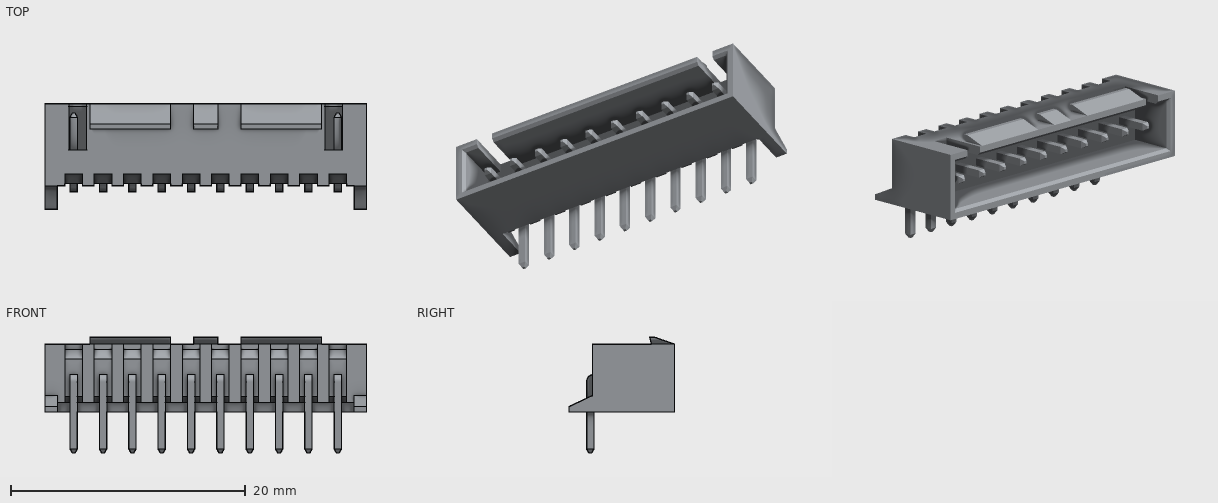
import cadquery as cq


pin_count = 10
pitch = 2.5
pin_size = 0.64
pin_end_gap = 0.8
pin_overhang = 0.5
pin_drop = 3.49
tip_length = 0.36
tip_inset = 0.2
bend_radius = pin_size

length = 27.4
depth = 7.0
height = 5.8
wall = 0.8
cavity_depth = 3.95
lead_in = 0.25

slot_width = 1.5
slot_outer_x = 11.65

pocket_width = 1.5
pocket_depth = 1.0
pocket_wall_inset = 0.2
pocket_top_drop = 0.48
pocket_top_slope = pocket_depth - pocket_wall_inset
pocket_bottom_slope = 0.5
step_height = 0.83

foot_width = 1.05
foot_reach = 2.0
foot_root_height = 1.42
foot_tip_height = 0.48

ridge_height = 0.6
ridge_crest_start = 1.73
ridge_crest_end = 2.13
ridge_base_end = 1.98
ridge_spans = [(-9.87, -3.0), (-1.03, 1.03), (3.0, 9.87)]

rear_y = -depth
step_y = rear_y + pocket_depth
pin_z = height / 2
leg_y = rear_y - pin_overhang + pin_size / 2
pin_positions = [(i - (pin_count - 1) / 2) * pitch for i in range(pin_count)]


def box(x_min, x_max, y_min, y_max, z_min, z_max):
    """Axis-aligned block between the given limits."""
    return cq.Workplane("XY").box(
        x_max - x_min, y_max - y_min, z_max - z_min, centered=False
    ).translate((x_min, y_min, z_min))


def side_profile(points, x_min, x_max):
    """Solid from a (y, z) outline, running along X."""
    return cq.Workplane("YZ").workplane(offset=x_min).polyline(points).close().extrude(x_max - x_min)


def make_cavity():
    """Open-fronted cavity with a flared mouth."""
    inner_length = length - 2 * wall
    inner_height = height - 2 * wall
    cavity = box(-inner_length / 2, inner_length / 2, -cavity_depth, 0, wall, height - wall)
    mouth = (
        cq.Workplane("XZ", origin=(0, 0, height / 2))
        .rect(inner_length + 2 * lead_in, inner_height + 2 * lead_in)
        .workplane(offset=lead_in)
        .rect(inner_length, inner_height)
        .loft(combine=True)
    )
    return cavity.union(mouth)


def make_pocket(x):
    """Rear pocket with sloped ends, leaving a raised wall around the pin."""
    wall_y = rear_y + pocket_wall_inset
    slope_top = height - pocket_top_drop
    outline = [
        (rear_y, 0),
        (step_y, 0),
        (step_y, step_height),
        (wall_y + pocket_bottom_slope, step_height),
        (wall_y, step_height + pocket_bottom_slope),
        (wall_y, slope_top - pocket_top_slope),
        (step_y, slope_top),
        (step_y, height),
        (rear_y, height),
    ]
    return side_profile(outline, x - pocket_width / 2, x + pocket_width / 2)


def make_foot(x_min):
    """Sloped end foot, including the end of the stepped-back base it stands on."""
    outline = [
        (step_y, 0),
        (rear_y - foot_reach, 0),
        (rear_y - foot_reach, foot_tip_height),
        (rear_y, foot_root_height),
        (step_y, foot_root_height),
    ]
    return side_profile(outline, x_min, x_min + foot_width)


def make_ridge(x_min, x_max):
    """Locking ridge: ramp from the opening, flat crest and undercut rear face."""
    crest_z = height + ridge_height
    outline = [
        (0, height),
        (-ridge_crest_start, crest_z),
        (-ridge_crest_end, crest_z),
        (-ridge_base_end, height),
    ]
    return side_profile(outline, x_min, x_max)


def make_tip(plane_name, origin):
    """Tapered pin tip starting at the origin, pointing against the plane normal."""
    end_size = pin_size - 2 * tip_inset
    return (
        cq.Workplane(plane_name, origin=origin)
        .rect(pin_size, pin_size)
        .workplane(offset=-tip_length)
        .rect(end_size, end_size)
        .loft(combine=True)
    )


def make_pin(x):
    """Square pin: mating arm along Y, rounded bend, and leg down along Z."""
    half = pin_size / 2
    arm_end = -pin_end_gap - tip_length
    leg_end = -pin_drop + tip_length
    bend_z = pin_z + half - bend_radius
    bend_y = leg_y - half + bend_radius
    arm = box(x - half, x + half, bend_y, arm_end, pin_z - half, pin_z + half)
    leg = box(x - half, x + half, leg_y - half, leg_y + half, leg_end, bend_z)
    bend = (
        cq.Workplane("YZ", origin=(x - half, bend_y, bend_z))
        .lineTo(-bend_radius, 0)
        .radiusArc((0, bend_radius), bend_radius)
        .close()
        .extrude(pin_size)
    )
    arm_tip = make_tip("XZ", (x, arm_end, pin_z))
    leg_tip = make_tip("XY", (x, leg_y, leg_end))
    return arm.union(leg).union(bend).union(arm_tip).union(leg_tip)


def make_housing():
    """Housing body with cavity, slots, rear pockets, feet and ridges."""
    end_x = length / 2
    body = box(-end_x, end_x, rear_y, 0, 0, height)
    body = body.cut(box(-end_x, end_x, rear_y, step_y, 0, step_height))
    body = body.cut(make_cavity())
    slot_inner_x = slot_outer_x - slot_width
    for x_min in (-slot_outer_x, slot_inner_x):
        body = body.cut(box(x_min, x_min + slot_width, -cavity_depth, 0, height - wall, height))
    for x in pin_positions:
        body = body.cut(make_pocket(x))
    for x_min in (-end_x, end_x - foot_width):
        body = body.union(make_foot(x_min))
    for x_min, x_max in ridge_spans:
        body = body.union(make_ridge(x_min, x_max))
    return body


result = make_housing()
for pin_x in pin_positions:
    result = result.union(make_pin(pin_x))